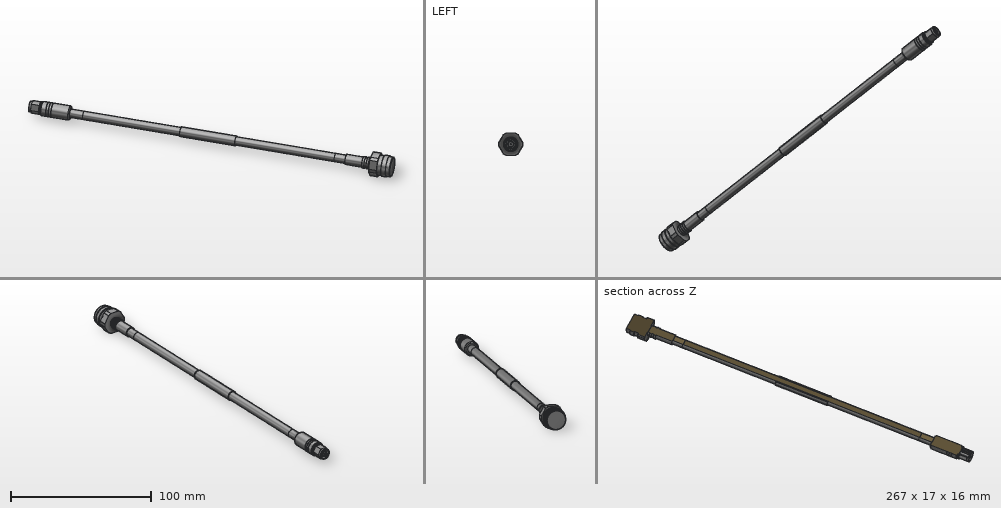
import cadquery as cq
import math

LEFT_END = -133.5
RIGHT_END = 133.5

FLAT_TO_CORNER_ANGLE = 30

CABLE_DIA = 6.1
CABLE_LEFT = -94.0
CABLE_RIGHT = 91.3
LABEL_DIA = 7.2
LABEL_LEFT = -22.5
LABEL_RIGHT = 18.1

NUT_FLATS = 8.0
NUT_NOSE_LENGTH = 1.5
NUT_FLANGE_DIA = 9.3
NUT_FLANGE_LENGTH = 0.5
NUT_RIGHT = -125.5
NUT_BORE_DIA = 6.5

BARREL_DIA = 10.5
BARREL_LEFT = -124.5
BARREL_RIGHT = -103.5
BARREL_CHAMFER = 0.8
BARREL_LEAD_CHAMFER = 0.5
GROOVE_DEPTH = 0.13
GROOVE_WIDTH = 0.3
GROOVE_PITCH = 2.0
GROOVE_COUNT = 3
FIRST_GROOVE = -120.5
NECK_DIA = 8.0
SPIGOT_DIA = 4.5
SPIGOT_LEFT = -132.5
INSULATOR_DIA = 3.5
INSULATOR_RECESS = 0.5

PIN_DIA = 0.93
PIN_LEFT = -133.1
PIN_RIGHT = -125.5

FERRULE_DIA = 7.5
FERRULE_LEFT = 99.3
RING_DIA = 8.5
RING_LENGTH = 1.5
RING_STARTS = [111.8, 115.0]

HEX_FLATS = 16.0
HEX_TRIM_FLATS = 17.0
END_CHAMFER = 0.5
HEX_LEFT = 118.2
HEX_RIGHT = 123.8
COUPLING_DIA = 14.5
BAND_DIA = 15.5
BAND_LEFT = 126.7
BAND_CHAMFER = 0.3
BAND_RIGHT = 130.2


def rod(left, right, diameter):
    """Round bar along X from left to right."""
    return cq.Workplane("YZ", origin=(left, 0, 0)).circle(diameter / 2).extrude(right - left)


def hex_bar(left, right, across_flats, turn=0):
    """Hexagonal bar along X with two of its flats facing up and down, then turned about X."""
    corner_dia = across_flats / math.cos(math.radians(FLAT_TO_CORNER_ANGLE))
    bar = cq.Workplane("YZ", origin=(left, 0, 0)).polygon(6, corner_dia).extrude(right - left)
    return bar.rotate((0, 0, 0), (1, 0, 0), turn)


def make_tube(left, right, outer_dia, inner_dia):
    """Round tube along X from left to right."""
    return rod(left, right, outer_dia).cut(rod(left, right, inner_dia))


def make_left_nut():
    """Hexagonal coupling nut with a round nose, a round flange and a through bore."""
    flange_left = NUT_RIGHT - NUT_FLANGE_LENGTH
    nose = rod(LEFT_END, LEFT_END + NUT_NOSE_LENGTH, NUT_FLATS)
    hexagon = hex_bar(LEFT_END + NUT_NOSE_LENGTH, flange_left, NUT_FLATS)
    flange = rod(flange_left, NUT_RIGHT, NUT_FLANGE_DIA)
    bore = rod(LEFT_END, NUT_RIGHT, NUT_BORE_DIA)
    return nose.union(hexagon).union(flange).cut(bore)


def make_left_plug():
    """Grooved barrel with its neck and the drilled, recessed spigot in front of it."""
    barrel = rod(BARREL_LEFT, BARREL_RIGHT, BARREL_DIA).faces(">X").chamfer(BARREL_CHAMFER)
    barrel = barrel.faces("<X").chamfer(BARREL_LEAD_CHAMFER)
    groove_floor_dia = BARREL_DIA - 2 * GROOVE_DEPTH
    for index in range(GROOVE_COUNT):
        left = FIRST_GROOVE + index * GROOVE_PITCH
        barrel = barrel.cut(make_tube(left, left + GROOVE_WIDTH, BARREL_DIA, groove_floor_dia))
    spigot = rod(SPIGOT_LEFT, BARREL_LEFT, SPIGOT_DIA)
    neck = rod(NUT_RIGHT, BARREL_LEFT, NECK_DIA)
    recess = rod(SPIGOT_LEFT, SPIGOT_LEFT + INSULATOR_RECESS, INSULATOR_DIA)
    pin_hole = rod(PIN_LEFT, PIN_RIGHT, PIN_DIA)
    return barrel.union(neck).union(spigot).cut(recess).cut(pin_hole)


def make_right_ferrule():
    """Crimp tube with its raised rings."""
    ferrule = rod(FERRULE_LEFT, HEX_LEFT, FERRULE_DIA)
    for ring_left in RING_STARTS:
        ferrule = ferrule.union(rod(ring_left, ring_left + RING_LENGTH, RING_DIA))
    return ferrule


def make_right_coupling():
    """Hexagon with trimmed corners, and the banded ring beyond it."""
    hexagon = hex_bar(HEX_LEFT, HEX_RIGHT, HEX_FLATS)
    corner_trim = hex_bar(HEX_LEFT, HEX_RIGHT, HEX_TRIM_FLATS, FLAT_TO_CORNER_ANGLE)
    hexagon = hexagon.intersect(corner_trim)
    ring = rod(HEX_RIGHT, RIGHT_END, COUPLING_DIA).faces(">X").chamfer(END_CHAMFER)
    band = rod(BAND_LEFT, BAND_RIGHT, BAND_DIA).faces("<X").chamfer(BAND_CHAMFER)
    return hexagon.union(ring).union(band)


left_nut = make_left_nut()
left_plug = make_left_plug()
contact_pin = rod(PIN_LEFT, PIN_RIGHT, PIN_DIA)
left_collar = rod(BARREL_RIGHT, CABLE_LEFT, CABLE_DIA)
cable = rod(CABLE_LEFT, CABLE_RIGHT, CABLE_DIA)
label_sleeve = make_tube(LABEL_LEFT, LABEL_RIGHT, LABEL_DIA, CABLE_DIA)
right_collar = rod(CABLE_RIGHT, FERRULE_LEFT, CABLE_DIA)
right_ferrule = make_right_ferrule()
right_coupling = make_right_coupling()

result = cq.Compound.makeCompound(
    [
        left_nut.val(),
        left_plug.val(),
        contact_pin.val(),
        left_collar.val(),
        cable.val(),
        label_sleeve.val(),
        right_collar.val(),
        right_ferrule.val(),
        right_coupling.val(),
    ]
)